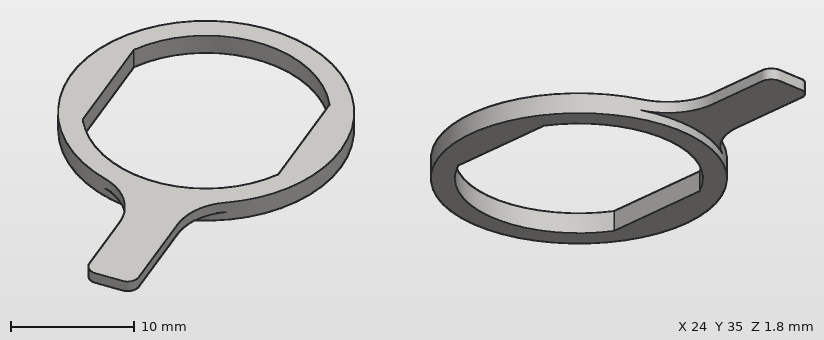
import cadquery as cq
import math

ring_radius = 12.0
ring_thickness = 1.8
bore_radius = 10.05
bore_flat_distance = 8.7

handle_thickness = 1.0
handle_width = 4.4
handle_center_x = 1.8
handle_end_y = -23.0
handle_corner_radius = 1.0
root_fillet_radius = 5.0

handle_left_x = handle_center_x - handle_width / 2
handle_right_x = handle_center_x + handle_width / 2
handle_bottom_z = ring_thickness - handle_thickness


def make_ring_disc():
    return cq.Workplane("XY").circle(ring_radius).extrude(ring_thickness)


def make_bore():
    """Round bore cut off by two flats parallel to the Y axis."""
    round_bore = cq.Workplane("XY").circle(bore_radius).extrude(ring_thickness)
    flat_limits = cq.Workplane("XY").rect(2 * bore_flat_distance, 2 * bore_radius).extrude(ring_thickness)
    return round_bore.intersect(flat_limits)


def root_fillet_points(edge_x, side):
    """Ring end, middle and handle end of a root fillet; side is -1 for left, +1 for right.

    The fillet arc touches both the ring circle and the straight handle edge.
    """
    center_x = edge_x + side * root_fillet_radius
    center_distance = ring_radius + root_fillet_radius
    center_y = -math.sqrt(center_distance**2 - center_x**2)
    ring_ratio = ring_radius / center_distance
    ring_end = (center_x * ring_ratio, center_y * ring_ratio)
    handle_end = (edge_x, center_y)

    ring_angle = math.atan2(-center_y, -center_x)
    handle_angle = math.pi if side > 0 else 0.0
    middle_angle = (ring_angle + handle_angle) / 2
    middle = (
        center_x + root_fillet_radius * math.cos(middle_angle),
        center_y + root_fillet_radius * math.sin(middle_angle),
    )
    return ring_end, middle, handle_end


def make_handle():
    left_ring_end, left_middle, left_handle_end = root_fillet_points(handle_left_x, -1)
    right_ring_end, right_middle, right_handle_end = root_fillet_points(handle_right_x, 1)
    blank = (
        cq.Workplane("XY", origin=(0, 0, handle_bottom_z))
        .moveTo(*left_ring_end)
        .threePointArc(left_middle, left_handle_end)
        .lineTo(handle_left_x, handle_end_y)
        .lineTo(handle_right_x, handle_end_y)
        .lineTo(*right_handle_end)
        .threePointArc(right_middle, right_ring_end)
        .lineTo(0, 0)
        .close()
        .extrude(handle_thickness)
    )
    return blank.edges("|Z and <Y").fillet(handle_corner_radius)


result = make_ring_disc().union(make_handle()).cut(make_bore())